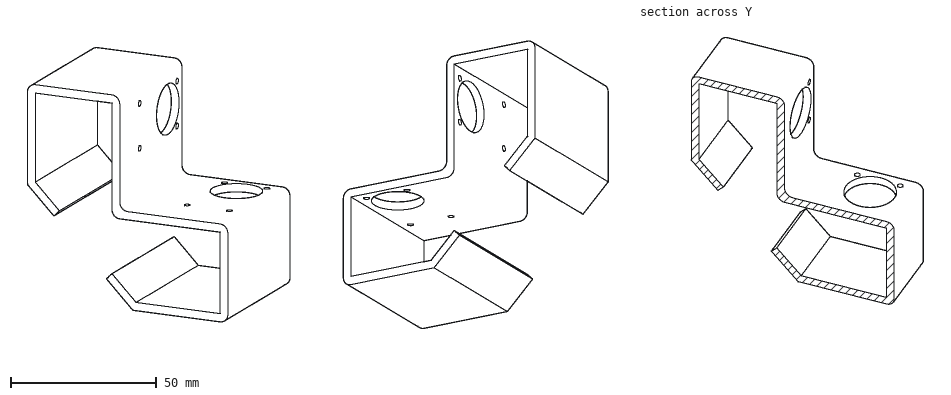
import cadquery as cq
import math

SIZE = 76.0
DEPTH = 50.0
WALL = 3.0
ARM = 35.0

LIP_START = 40.0
LIP_RUN = 10.0

HOLE_DIAMETER = 2.0
HOLE_SPACING = 16.0
HOLE_CENTRE = 61.0
HOLE_ROWS = (16.0, 46.05)
WINDOW_DIAMETER = 18.0
WINDOW_Y = 38.6


def mirrored(points):
    """Swap X and Z and reverse the order, giving the other half of the profile."""
    return [(z, x) for x, z in reversed(points)]


def profile_points():
    """Sharp-cornered outline, symmetric about the diagonal X = Z."""
    end_step = WALL * math.sin(math.radians(45))
    inner_lip_start = LIP_START + WALL * math.tan(math.radians(22.5))
    lip_end = (LIP_RUN, LIP_START - LIP_RUN)

    outer_half = [lip_end, (0, LIP_START), (0, SIZE), (ARM, SIZE)]
    inner_half = [
        (ARM - WALL, ARM - WALL),
        (ARM - WALL, SIZE - WALL),
        (WALL, SIZE - WALL),
        (WALL, inner_lip_start),
        (lip_end[0] + end_step, lip_end[1] + end_step),
    ]
    outer = outer_half + [(ARM, ARM)] + mirrored(outer_half)
    inner = mirrored(inner_half)[:-1] + inner_half
    return outer + inner


def build_shell():
    shell = cq.Workplane("XZ").polyline(profile_points()).close().extrude(-DEPTH)
    rounded_corners = [
        (0, SIZE),
        (ARM, SIZE),
        (ARM, ARM),
        (ARM - WALL, ARM - WALL),
        (SIZE, ARM),
        (SIZE, 0),
    ]
    for x, z in rounded_corners:
        corner_edge = cq.selectors.NearestToPointSelector((x, DEPTH / 2, z))
        shell = shell.edges("|Y").edges(corner_edge).fillet(WALL)
    return shell


def hole_cutters(plane):
    """Screw holes and round window through one wall of the inside corner."""
    base = cq.Workplane(plane)
    offsets = (-HOLE_SPACING / 2, HOLE_SPACING / 2)
    centres = [(HOLE_CENTRE + offset, y) for offset in offsets for y in HOLE_ROWS]
    screws = base.pushPoints(centres).circle(HOLE_DIAMETER / 2).extrude(WALL)
    window = base.center(HOLE_CENTRE, WINDOW_Y).circle(WINDOW_DIAMETER / 2).extrude(WALL)
    return screws.union(window)


shelf_plane = cq.Plane(origin=(0, 0, ARM - WALL), xDir=(1, 0, 0), normal=(0, 0, 1))
web_plane = cq.Plane(origin=(ARM, 0, 0), xDir=(0, 0, 1), normal=(-1, 0, 0))

result = build_shell()
for wall_plane in (shelf_plane, web_plane):
    result = result.cut(hole_cutters(wall_plane))